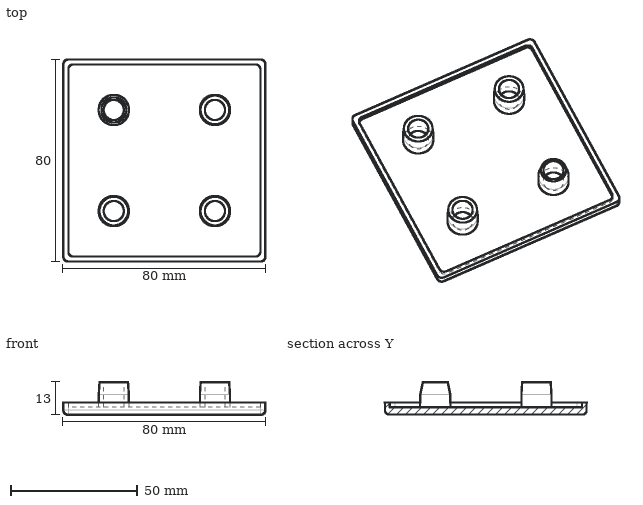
import cadquery as cq

side = 80.0
total_height = 13.0
tray_height = 5.0
floor_thickness = 3.0
wall = 2.0
corner_radius = 2.0
bottom_round = 1.9

post_spacing = 40.0
post_radius = 6.0
bore_radius = 4.0
taper_start = 8.0
slight_tip_radius = 5.7
narrow_tip_radius = 5.0


def make_tray():
    """Square tray with rounded corners and a rounded bottom edge."""
    body = cq.Workplane("XY").rect(side, side).extrude(tray_height)
    body = body.edges("|Z").fillet(corner_radius)
    body = body.faces("<Z").edges().fillet(bottom_round)
    inner_side = side - 2 * wall
    pocket = (
        cq.Workplane("XY")
        .workplane(offset=floor_thickness)
        .rect(inner_side, inner_side)
        .extrude(tray_height - floor_thickness)
        .edges("|Z")
        .fillet(corner_radius)
    )
    return body.cut(pocket)


def make_post(tip_radius):
    """Revolved post wall standing on the tray floor, bored down to the floor."""
    return (
        cq.Workplane("XZ")
        .moveTo(bore_radius, floor_thickness)
        .lineTo(post_radius, floor_thickness)
        .lineTo(post_radius, taper_start)
        .lineTo(tip_radius, total_height)
        .lineTo(bore_radius, total_height)
        .close()
        .revolve(360, (0, 0, 0), (0, 1, 0))
    )


result = make_tray()
for x_sign in (-1, 1):
    for y_sign in (-1, 1):
        is_narrow = x_sign < 0 and y_sign > 0
        tip_radius = narrow_tip_radius if is_narrow else slight_tip_radius
        post = make_post(tip_radius)
        result = result.union(post.translate((x_sign * post_spacing / 2, y_sign * post_spacing / 2, 0)))